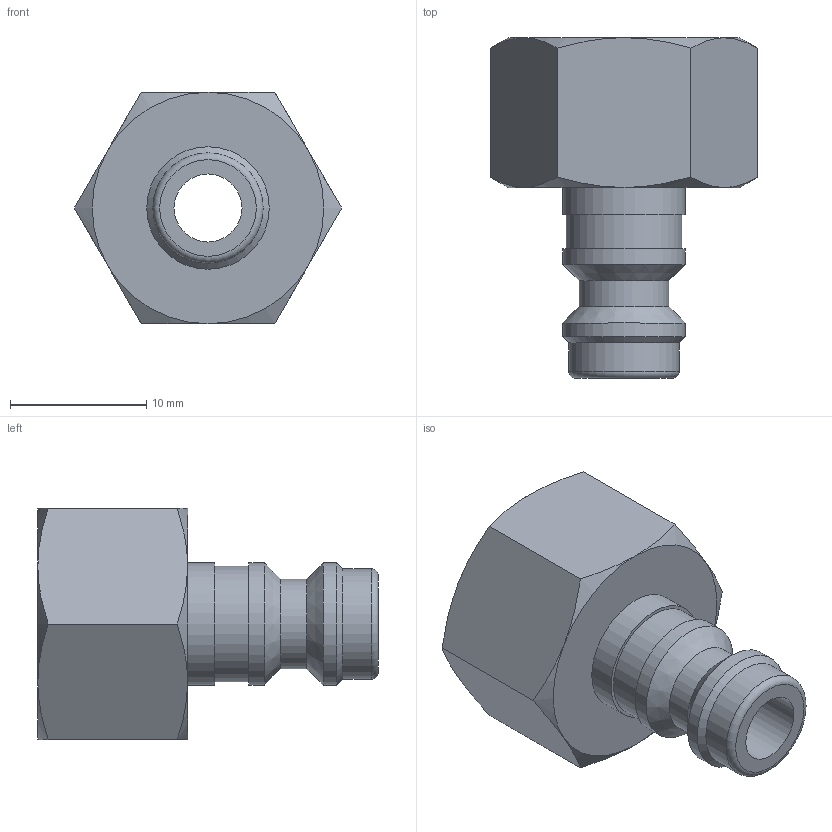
import cadquery as cq
import math

across_flats = 17.0
hex_length = 11.0
total_length = 25.0
bore_diameter = 5.0

across_corners = across_flats / math.cos(math.radians(30))
chamfer_angle = math.radians(30)

land_diameter = 9.0
neck_diameter = 8.5
groove_diameter = 6.6
tip_diameter = 8.1
tip_radius = 0.5

collar_length = 2.0
neck_length = 2.5
rear_land_length = 1.15
groove_taper_length = (land_diameter - groove_diameter) / 2
groove_length = 1.9
front_land_length = 1.0
tip_taper_length = (land_diameter - tip_diameter) / 2

tip_y = hex_length - total_length


def make_hexagon():
    """Hexagonal body with flats facing +Z and -Z, chamfered at both ends."""
    hexagon = (
        cq.Workplane("XZ")
        .polygon(6, across_corners)
        .extrude(-hex_length)
    )
    corner_radius = across_corners / 2
    flat_radius = across_flats / 2
    chamfer_depth = (corner_radius - flat_radius) * math.tan(chamfer_angle)
    envelope = (
        cq.Workplane("XY")
        .moveTo(0, 0)
        .lineTo(flat_radius, 0)
        .lineTo(corner_radius, chamfer_depth)
        .lineTo(corner_radius, hex_length - chamfer_depth)
        .lineTo(flat_radius, hex_length)
        .lineTo(0, hex_length)
        .close()
        .revolve(360, (0, 0, 0), (0, 1, 0))
    )
    return hexagon.intersect(envelope)


def make_stem():
    """Turned plug stem with a locking groove and a rounded tip."""
    collar_end = -collar_length
    neck_end = collar_end - neck_length
    rear_land_end = neck_end - rear_land_length
    groove_start = rear_land_end - groove_taper_length
    groove_end = groove_start - groove_length
    front_land_start = groove_end - groove_taper_length
    front_land_end = front_land_start - front_land_length
    tip_start = front_land_end - tip_taper_length

    land_radius = land_diameter / 2
    stem = (
        cq.Workplane("XY")
        .moveTo(0, 0)
        .lineTo(land_radius, 0)
        .lineTo(land_radius, collar_end)
        .lineTo(neck_diameter / 2, collar_end)
        .lineTo(neck_diameter / 2, neck_end)
        .lineTo(land_radius, neck_end)
        .lineTo(land_radius, rear_land_end)
        .lineTo(groove_diameter / 2, groove_start)
        .lineTo(groove_diameter / 2, groove_end)
        .lineTo(land_radius, front_land_start)
        .lineTo(land_radius, front_land_end)
        .lineTo(tip_diameter / 2, tip_start)
        .lineTo(tip_diameter / 2, tip_y)
        .lineTo(0, tip_y)
        .close()
        .revolve(360, (0, 0, 0), (0, 1, 0))
    )
    return stem.faces("<Y").edges().fillet(tip_radius)


def make_bore():
    """Straight bore through the whole length."""
    return (
        cq.Workplane("XZ", origin=(0, hex_length, 0))
        .circle(bore_diameter / 2)
        .extrude(total_length)
    )


result = make_hexagon().union(make_stem()).cut(make_bore())